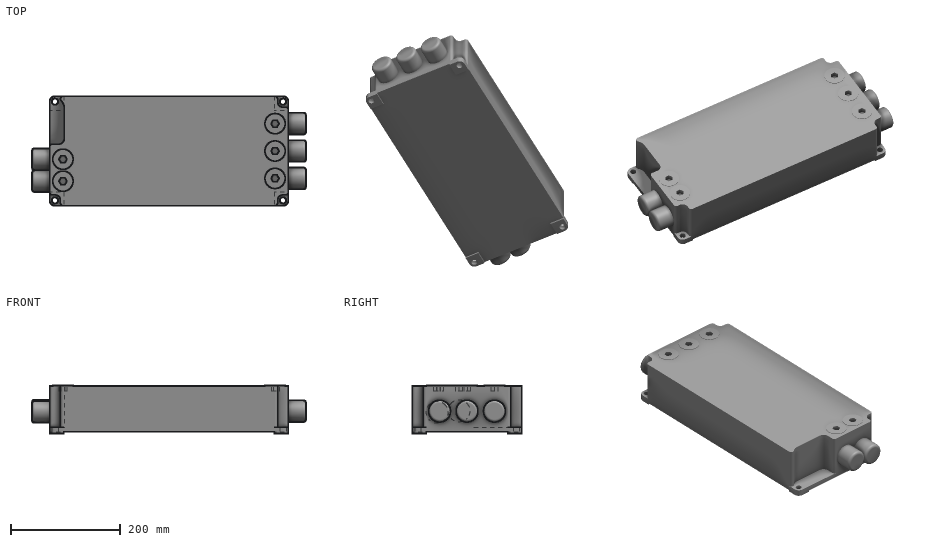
import cadquery as cq
import math

body_length = 436.0
body_width = 200.0
body_top = 87.0
plan_corner_radius = 10.0

foot_height = 3.0
foot_side = 26.0

ledge_top = 12.0
notch_side = 20.0
notch_inner_radius = 10.0
notch_mouth_radius = 5.0

hole_inset = 10.0
hole_diameter = 11.0

pocket_depth = 27.0
pocket_length = 87.5
pocket_inner_radius = 10.5
pocket_bend_inset = 22.0

connector_diameter = 40.0
connector_length = 32.0
connector_fillet = 5.0
left_connectors = [(-15.0, 42.0), (-55.0, 39.5)]
right_connectors = [(-50.0, 41.0), (0.0, 41.0), (50.0, 41.0)]

plug_diameter = 37.0
plug_height = 1.0
plug_inset = 24.5
socket_across_corners = 14.5
socket_depth = 10.0

half_length = body_length / 2
half_width = body_width / 2
notch_mouth = notch_side + notch_mouth_radius


def make_body():
    """Block with rounded vertical edges, standing on four corner feet."""
    block = cq.Workplane("XY").box(body_length, body_width, body_top, centered=(True, True, False))
    block = block.edges("|Z").fillet(plan_corner_radius)
    channel_x = body_length - 2 * foot_side
    channel_y = body_width - 2 * foot_side
    for length, width in ((channel_x, body_width), (body_length, channel_y)):
        channel = cq.Workplane("XY").box(length, width, foot_height, centered=(True, True, False))
        block = block.cut(channel)
    return block


def notch_tool():
    """Cutter for the corner at (+X, +Y); the mouths of the notch are rounded off."""
    x_wall = half_length - notch_side
    y_wall = half_width - notch_side
    return (
        cq.Workplane("XY", origin=(0, 0, ledge_top))
        .moveTo(half_length, half_width)
        .lineTo(half_length - notch_mouth, half_width)
        .radiusArc((x_wall, half_width - notch_mouth_radius), notch_mouth_radius)
        .lineTo(x_wall, y_wall + notch_inner_radius)
        .radiusArc((x_wall + notch_inner_radius, y_wall), -notch_inner_radius)
        .lineTo(half_length - notch_mouth_radius, y_wall)
        .radiusArc((half_length, half_width - notch_mouth), notch_mouth_radius)
        .close()
        .extrude(body_top - ledge_top)
    )


def pocket_tool():
    """Cutter for the long pocket, which takes in the notch at the (-X, +Y) corner.

    The back wall sweeps out to the rounded +Y mouth in an S: a hollow bend that is
    tangent to the back wall and to the mouth arc.
    """
    back_wall = pocket_depth - half_length
    end_wall = half_width - pocket_length
    mouth_x = notch_mouth - half_length
    mouth_y = half_width - notch_mouth_radius
    bend_y = half_width - pocket_bend_inset

    rise = mouth_y - bend_y
    offset = mouth_x - back_wall
    bend_radius = (rise**2 + offset**2 - notch_mouth_radius**2) / (2 * (notch_mouth_radius - offset))
    angle = math.atan2(rise, offset + bend_radius)
    tangent_x = mouth_x - notch_mouth_radius * math.cos(angle)
    tangent_y = mouth_y - notch_mouth_radius * math.sin(angle)

    return (
        cq.Workplane("XY", origin=(0, 0, ledge_top))
        .moveTo(-half_length, half_width)
        .lineTo(mouth_x, half_width)
        .radiusArc((tangent_x, tangent_y), -notch_mouth_radius)
        .radiusArc((back_wall, bend_y), bend_radius)
        .lineTo(back_wall, end_wall + pocket_inner_radius)
        .radiusArc((back_wall - pocket_inner_radius, end_wall), pocket_inner_radius)
        .lineTo(notch_mouth_radius - half_length, end_wall)
        .radiusArc((-half_length, end_wall - notch_mouth_radius), -notch_mouth_radius)
        .close()
        .extrude(body_top - ledge_top)
    )


def mounting_holes():
    """Vertical holes through the four ledges."""
    spacing_x = body_length - 2 * hole_inset
    spacing_y = body_width - 2 * hole_inset
    return (
        cq.Workplane("XY")
        .rect(spacing_x, spacing_y, forConstruction=True)
        .vertices()
        .circle(hole_diameter / 2)
        .extrude(ledge_top)
    )


def connector(side, y, z):
    """Round connector on the end face at side (+1 or -1) of X, with a rounded outer rim."""
    return (
        cq.Workplane("YZ", origin=(side * half_length, y, z))
        .circle(connector_diameter / 2)
        .extrude(side * connector_length)
        .faces(">X" if side > 0 else "<X")
        .edges()
        .fillet(connector_fillet)
    )


def add_plug(part, x, y):
    """Thin round plug on the top face with a hexagon socket sunk through it."""
    plug = cq.Workplane("XY", origin=(x, y, body_top)).circle(plug_diameter / 2).extrude(plug_height)
    socket = (
        cq.Workplane("XY", origin=(x, y, body_top + plug_height))
        .polygon(6, socket_across_corners)
        .extrude(-socket_depth)
    )
    return part.union(plug).cut(socket)


result = make_body()
notch = notch_tool()
result = result.cut(notch)
result = result.cut(notch.mirror("XZ"))
result = result.cut(notch.mirror("XZ").mirror("YZ"))
result = result.cut(pocket_tool())
result = result.cut(mounting_holes())

for side, positions in ((-1, left_connectors), (1, right_connectors)):
    for y, z in positions:
        result = result.union(connector(side, y, z))
        result = add_plug(result, side * (half_length - plug_inset), y)